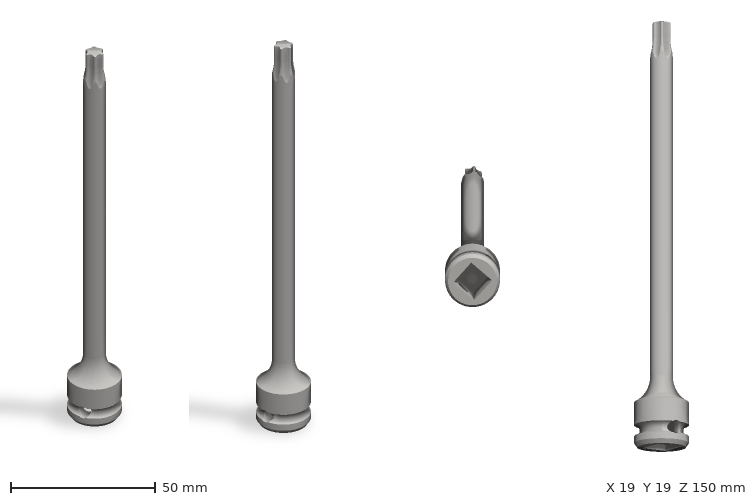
import cadquery as cq
import math

total_length = 150.0
head_radius = 9.52
shaft_radius = 3.98
head_top = 15.9
flare_top = 24.9

chamfer_height = 1.5
chamfer_width = 1.0
groove_center = 5.8
groove_radius = 2.0

pin_hole_diameter = 4.6
drive_width = 9.6
drive_depth = 11.2

lobe_count = 6
lobe_tip_radius = 3.38
lobe_round = 0.52
flute_bottom_radius = 2.48
tip_face_radius = 2.2
tip_chamfer_height = 0.3
straight_length = 5.5
runout_length = 7.8
cutter_reach = 5.2
runout_sweep = 45

runout_start = total_length - straight_length
runout_rise = shaft_radius - flute_bottom_radius
runout_radius = (runout_length**2 + runout_rise**2) / (2 * runout_rise)
neck_rise = shaft_radius - lobe_tip_radius
neck_length = math.sqrt(2 * runout_radius * neck_rise - neck_rise**2)


def arc_middle(radius, top, length, rise):
    """Return the midpoint of an arc leaving a cylinder tangentially and widening downward."""
    arc_radius = (length**2 + rise**2) / (2 * rise)
    half_sweep = math.asin(length / arc_radius) / 2
    return (
        radius + arc_radius * (1 - math.cos(half_sweep)),
        top - arc_radius * math.sin(half_sweep),
    )


def make_body():
    """Revolve the head, flare, shaft and reduced tip in one profile."""
    flare_length = flare_top - head_top
    flare_rise = head_radius - shaft_radius
    flare_middle = arc_middle(shaft_radius, flare_top, flare_length, flare_rise)
    neck_middle = arc_middle(lobe_tip_radius, runout_start, neck_length, neck_rise)
    return (
        cq.Workplane("XZ")
        .lineTo(head_radius - chamfer_width, 0)
        .lineTo(head_radius, chamfer_height)
        .lineTo(head_radius, groove_center - groove_radius)
        .threePointArc(
            (head_radius - groove_radius, groove_center),
            (head_radius, groove_center + groove_radius),
        )
        .lineTo(head_radius, head_top)
        .threePointArc(flare_middle, (shaft_radius, flare_top))
        .lineTo(shaft_radius, runout_start - neck_length)
        .threePointArc(neck_middle, (lobe_tip_radius, runout_start))
        .lineTo(lobe_tip_radius, total_length - tip_chamfer_height)
        .lineTo(tip_face_radius, total_length)
        .lineTo(0, total_length)
        .close()
        .revolve(360, (0, 0, 0), (0, 1, 0))
    )


def make_flute_cutter():
    """Make the cutter for the flute facing +X: a straight run, then a curved runout."""
    half_angle = math.pi / lobe_count
    cos_half = math.cos(half_angle)
    sin_half = math.sin(half_angle)
    lobe_distance = lobe_tip_radius - lobe_round

    flute_round = (
        flute_bottom_radius**2
        + lobe_distance**2
        - 2 * flute_bottom_radius * lobe_distance * cos_half
        - lobe_round**2
    ) / (2 * (lobe_round + lobe_distance * cos_half - flute_bottom_radius))
    flute_distance = flute_bottom_radius + flute_round
    lobe_x = lobe_distance * cos_half
    lobe_y = lobe_distance * sin_half
    share = lobe_round / (lobe_round + flute_round)
    tangent_x = lobe_x + share * (flute_distance - lobe_x)
    tangent_y = lobe_y * (1 - share)

    tangent_angle = math.atan2(tangent_y - lobe_y, tangent_x - lobe_x)
    middle_angle = (half_angle + tangent_angle) / 2
    middle_x = lobe_x + lobe_round * math.cos(middle_angle)
    middle_y = lobe_y + lobe_round * math.sin(middle_angle)
    crest_x = lobe_tip_radius * cos_half
    crest_y = lobe_tip_radius * sin_half
    outer_y = cutter_reach * math.tan(half_angle)

    section = (
        cq.Workplane("XY", origin=(0, 0, runout_start))
        .moveTo(cutter_reach, -outer_y)
        .lineTo(crest_x, -crest_y)
        .threePointArc((middle_x, -middle_y), (tangent_x, -tangent_y))
        .threePointArc((flute_bottom_radius, 0), (tangent_x, tangent_y))
        .threePointArc((middle_x, middle_y), (crest_x, crest_y))
        .lineTo(cutter_reach, outer_y)
        .close()
    )
    axis_x = flute_bottom_radius + runout_radius
    straight = section.extrude(straight_length)
    runout = section.toPending().revolve(runout_sweep, (axis_x, 0, 0), (axis_x, -1, 0))
    return straight.union(runout)


result = make_body()

flute_cutter = make_flute_cutter()
lobe_pitch = 360 / lobe_count
for index in range(lobe_count):
    angle = lobe_pitch * (index + 0.5)
    result = result.cut(flute_cutter.rotate((0, 0, 0), (0, 0, 1), angle))

result = result.cut(cq.Workplane("XY").rect(drive_width, drive_width).extrude(drive_depth))

pin_hole = (
    cq.Workplane("XZ", origin=(0, 0, groove_center))
    .circle(pin_hole_diameter / 2)
    .extrude(head_radius, both=True)
)
result = result.cut(pin_hole)